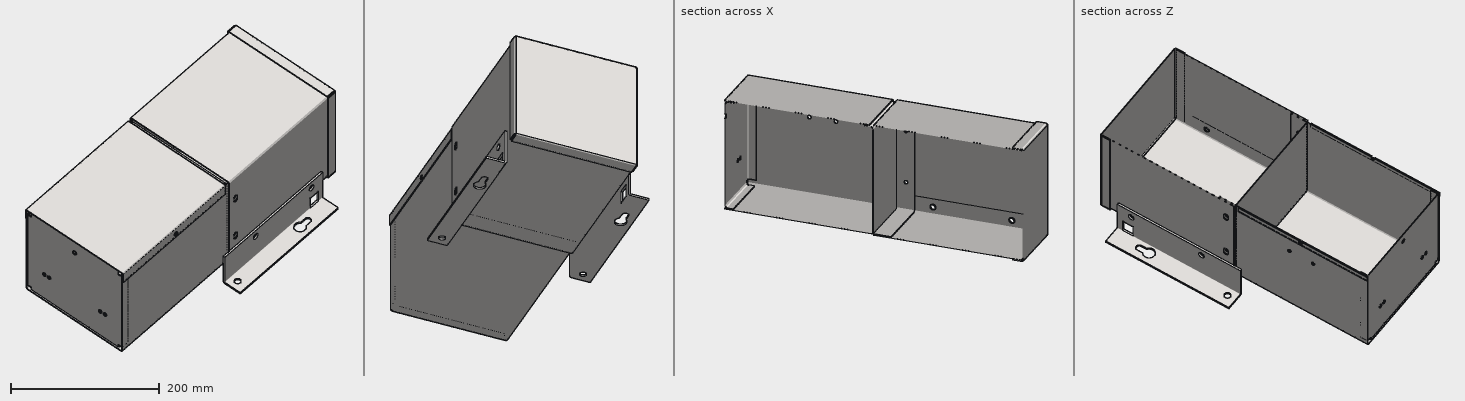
import cadquery as cq
OVERALL_LENGTH = 433.32
OVERALL_HEIGHT = 196.57
SHEET = 1.524
BRACKET_SHEET = 3.048

CAP_BOTTOM_Z = 28.4
CAP_DEPTH = 16.3
CAP_BEND = 2 * SHEET
CAP_CORNER_NOTCH = 2.3

TUBE_WIDTH = 177.8
TUBE_CAP_CLEARANCE = 0.3
TUBE_TOP_Z = OVERALL_HEIGHT - SHEET - TUBE_CAP_CLEARANCE
TUBE_BOTTOM_Z = CAP_BOTTOM_Z + SHEET + TUBE_CAP_CLEARANCE
TUBE_FRONT_Y = 216.0
TUBE_BACK_Y = OVERALL_LENGTH - CAP_BEND
TUBE_BEND = 3.8
CAP_WIDTH = TUBE_WIDTH + 2 * SHEET

COVER_SIDE_STEP = 1.3
COVER_WIDTH = TUBE_WIDTH - 2 * COVER_SIDE_STEP
COVER_TOP_STEP = 0.3
COVER_TOP_Z = TUBE_TOP_Z - COVER_TOP_STEP
COVER_LENGTH = 209.7
COVER_BEND = 2 * SHEET
COVER_FLANGE_BOTTOM_Z = 176.0

WRAP_WIDTH = COVER_WIDTH - 2 * SHEET
WRAP_BOTTOM_Z = TUBE_BOTTOM_Z + SHEET
WRAP_TOP_Z = COVER_TOP_Z - COVER_BEND
WRAP_BEND = 3.8
WRAP_OVERLAP = 25.4
WRAP_LENGTH = TUBE_FRONT_Y + WRAP_OVERLAP
PARTITION_SETBACK = 0.3
PARTITION_BACK_Y = TUBE_FRONT_Y - PARTITION_SETBACK
COVER_GAP = 0.3
PARTITION_TOP_Z = COVER_TOP_Z - SHEET - COVER_GAP
PARTITION_BEND = 5.08
PARTITION_FLANGE_DEPTH = 12.7
PARTITION_FLANGE_INSET = 1.4

PANEL_WIDTH = WRAP_WIDTH - 2 * SHEET
PANEL_TOP_Z = PARTITION_TOP_Z
PANEL_BOTTOM_Z = WRAP_BOTTOM_Z + SHEET
PANEL_DEPTH = 12.7
PANEL_SIDE_BEND = 2 * SHEET
PANEL_TOP_BEND = 5.08
PANEL_CORNER_NOTCH = 7.0

PANEL_TOP_HOLE_DIAMETER = 6.5
PANEL_TOP_HOLE_Z = 170.2
PANEL_SIDE_HOLE_DIAMETER = 5.5
PANEL_SIDE_HOLE_X = (45.7, 54.2)
PANEL_SIDE_HOLE_Z = 84.6

OVERALL_WIDTH = 238.76
BRACKET_LENGTH = 200.66
BRACKET_FRONT_Y = 203.0
BRACKET_HEIGHT = 54.6
BRACKET_INNER_BEND = 0.4
BRACKET_FOOT = (OVERALL_WIDTH - TUBE_WIDTH) / 2
BRACKET_BEND = BRACKET_SHEET + BRACKET_INNER_BEND
BRACKET_WINDOW_LENGTH = 17.0
BRACKET_WINDOW_FRONT_Y = 378.0
BRACKET_WINDOW_TOP_Z = 23.2

FOOT_HOLE_X = 103.3
FOOT_HOLE_Y = 216.2
FOOT_HOLE_DIAMETER = 9.5
KEYHOLE_Y = 344.0
KEYHOLE_DIAMETER = 17.0
KEYHOLE_SLOT_WIDTH = 9.5
KEYHOLE_SLOT_RISE = 16.0

BRACKET_SCREW_Y = (266.6, 380.9)
BRACKET_SCREW_Z = 42.3
BRACKET_SCREW_HOLE = 9.1
TUBE_SCREW_HOLE = 7.1

JOINT_Y = 229.0
JOINT_Z = (74.4, 150.6)
JOINT_SLOT_WIDTH = 7.6
JOINT_SLOT_HEIGHT = 11.7
JOINT_HOLE_DIAMETER = 4.8

COVER_SCREW_Y = 108.3
COVER_SCREW_Z = 181.8
COVER_SCREW_CLEARANCE = 6.5
COVER_SCREW_HOLE = 4.0
PILOT_Y = (89.0, 127.5)
PILOT_Z = 147.0
PILOT_DIAMETER = 5.0


def block(width, y_start, y_end, z_bottom, z_top):
    """Box centred on X between the given Y and Z limits."""
    size = (width, y_end - y_start, z_top - z_bottom)
    return cq.Workplane("XY").box(*size, centered=(True, False, False)).translate((0, y_start, z_bottom))


def cross_hole(diameter, y, z):
    """Cylinder along X that crosses the whole part."""
    return cq.Workplane("YZ").center(y, z).circle(diameter / 2).extrude(OVERALL_WIDTH, both=True)


def pan(width, depth, z_bottom, z_top, side_bend, top_bend, notch):
    """Sheet pan with its plate at Y = 0, four flanges toward +Y and open square corners."""
    side_channel = block(width, 0, depth, z_bottom + notch, z_top - notch)
    side_channel = side_channel.edges("|Z and <Y").fillet(side_bend)
    side_space = block(width - 2 * SHEET, SHEET, depth, z_bottom + notch, z_top - notch)
    side_space = side_space.edges("|Z and <Y").fillet(side_bend - SHEET)

    top_channel = block(width - 2 * notch, 0, depth, z_bottom, z_top)
    top_channel = top_channel.edges("|X and <Y").fillet(top_bend)
    top_space = block(width - 2 * notch, SHEET, depth, z_bottom + SHEET, z_top - SHEET)
    top_space = top_space.edges("|X and <Y").fillet(top_bend - SHEET)
    return side_channel.cut(side_space).union(top_channel.cut(top_space))


def make_cap():
    """Pan whose flanges reach forward over the back end of the tube."""
    faced_forward = pan(
        CAP_WIDTH, CAP_DEPTH, CAP_BOTTOM_Z, OVERALL_HEIGHT, CAP_BEND, CAP_BEND, CAP_CORNER_NOTCH
    )
    return faced_forward.rotate((0, 0, 0), (0, 0, 1), 180).translate((0, OVERALL_LENGTH, 0))


def make_front_panel():
    """Pan that closes the front of the wiring compartment."""
    panel = pan(
        PANEL_WIDTH, PANEL_DEPTH, PANEL_BOTTOM_Z, PANEL_TOP_Z,
        PANEL_SIDE_BEND, PANEL_TOP_BEND, PANEL_CORNER_NOTCH,
    )
    side_points = [(side * x, PANEL_SIDE_HOLE_Z) for side in (-1, 1) for x in PANEL_SIDE_HOLE_X]
    plate_back = cq.Workplane("XZ", origin=(0, SHEET, 0))
    side_holes = plate_back.pushPoints(side_points).circle(PANEL_SIDE_HOLE_DIAMETER / 2).extrude(SHEET)
    top_hole = plate_back.center(0, PANEL_TOP_HOLE_Z).circle(PANEL_TOP_HOLE_DIAMETER / 2).extrude(SHEET)
    return panel.cut(side_holes).cut(top_hole)


def make_tube():
    """Rectangular sheet tube, open at both ends."""
    tube = block(TUBE_WIDTH, TUBE_FRONT_Y, TUBE_BACK_Y, TUBE_BOTTOM_Z, TUBE_TOP_Z)
    tube = tube.edges("|Y").fillet(TUBE_BEND)
    bore = block(
        TUBE_WIDTH - 2 * SHEET, TUBE_FRONT_Y, TUBE_BACK_Y, TUBE_BOTTOM_Z + SHEET, TUBE_TOP_Z - SHEET
    )
    tube = tube.cut(bore.edges("|Y").fillet(TUBE_BEND - SHEET))
    for y in BRACKET_SCREW_Y:
        tube = tube.cut(cross_hole(TUBE_SCREW_HOLE, y, BRACKET_SCREW_Z))
    for z in JOINT_Z:
        slot = (
            cq.Workplane("YZ")
            .center(JOINT_Y, z)
            .slot2D(JOINT_SLOT_HEIGHT, JOINT_SLOT_WIDTH, 90)
            .extrude(OVERALL_WIDTH, both=True)
        )
        tube = tube.cut(slot)
    return tube


def make_cover():
    """Top sheet with a short flange down each side of the wrap."""
    cover = block(COVER_WIDTH, 0, COVER_LENGTH, COVER_FLANGE_BOTTOM_Z, COVER_TOP_Z)
    cover = cover.edges("|Y and >Z").fillet(COVER_BEND)
    inside = block(WRAP_WIDTH, 0, COVER_LENGTH, COVER_FLANGE_BOTTOM_Z, COVER_TOP_Z - SHEET)
    cover = cover.cut(inside.edges("|Y and >Z").fillet(COVER_BEND - SHEET))
    return cover.cut(cross_hole(COVER_SCREW_CLEARANCE, COVER_SCREW_Y, COVER_SCREW_Z))


def wrap_cavity(y_start, y_end):
    """Space inside the wrap between two Y positions."""
    cavity = block(WRAP_WIDTH - 2 * SHEET, y_start, y_end, WRAP_BOTTOM_Z + SHEET, WRAP_TOP_Z)
    return cavity.edges("|Y and <Z").fillet(WRAP_BEND - SHEET)


def make_partition():
    """Wall across the wrap whose top bends forward into a flange under the cover."""
    tangent_z = PARTITION_TOP_Z - PARTITION_BEND
    front_y = PARTITION_BACK_Y - SHEET
    wall = wrap_cavity(front_y, PARTITION_BACK_Y)
    wall = wall.intersect(block(WRAP_WIDTH, front_y, PARTITION_BACK_Y, WRAP_BOTTOM_Z, tangent_z))

    flange_width = WRAP_WIDTH - 2 * (SHEET + PARTITION_FLANGE_INSET)
    flange_front_y = PARTITION_BACK_Y - PARTITION_FLANGE_DEPTH
    root_z = tangent_z - SHEET
    flange = block(flange_width, flange_front_y, PARTITION_BACK_Y, root_z, PARTITION_TOP_Z)
    flange = flange.edges("|X and >Y and >Z").fillet(PARTITION_BEND)
    under = block(flange_width, flange_front_y, front_y, root_z, PARTITION_TOP_Z - SHEET)
    under = under.edges("|X and >Y and >Z").fillet(PARTITION_BEND - SHEET)
    return wall.union(flange.cut(under))


def make_compartment():
    """U-shaped floor and sides, joined to the partition wall."""
    wrap = block(WRAP_WIDTH, 0, WRAP_LENGTH, WRAP_BOTTOM_Z, WRAP_TOP_Z)
    wrap = wrap.edges("|Y and <Z").fillet(WRAP_BEND)
    wrap = wrap.cut(wrap_cavity(0, WRAP_LENGTH))
    for z in JOINT_Z:
        wrap = wrap.cut(cross_hole(JOINT_HOLE_DIAMETER, JOINT_Y, z))
    wrap = wrap.cut(cross_hole(COVER_SCREW_HOLE, COVER_SCREW_Y, COVER_SCREW_Z))
    pilots = (
        cq.Workplane("YZ")
        .pushPoints([(y, PILOT_Z) for y in PILOT_Y])
        .circle(PILOT_DIAMETER / 2)
        .extrude(-WRAP_WIDTH)
    )
    return wrap.cut(pilots).union(make_partition())


def make_right_bracket():
    """L-shaped bracket on the +X side of the tube."""
    leg_x = TUBE_WIDTH / 2
    bracket = block(BRACKET_FOOT, BRACKET_FRONT_Y, BRACKET_FRONT_Y + BRACKET_LENGTH, 0, BRACKET_HEIGHT)
    bracket = bracket.translate((leg_x + BRACKET_FOOT / 2, 0, 0))
    bracket = bracket.edges("|Y and <X and <Z").fillet(BRACKET_BEND)
    open_side = block(
        BRACKET_FOOT, BRACKET_FRONT_Y, BRACKET_FRONT_Y + BRACKET_LENGTH, BRACKET_SHEET, BRACKET_HEIGHT
    )
    open_side = open_side.edges("|Y and <X and <Z").fillet(BRACKET_INNER_BEND)
    bracket = bracket.cut(open_side.translate((leg_x + BRACKET_SHEET + BRACKET_FOOT / 2, 0, 0)))

    for y in BRACKET_SCREW_Y:
        bracket = bracket.cut(cross_hole(BRACKET_SCREW_HOLE, y, BRACKET_SCREW_Z))
    window_end_y = BRACKET_WINDOW_FRONT_Y + BRACKET_WINDOW_LENGTH
    bracket = bracket.cut(
        block(OVERALL_WIDTH, BRACKET_WINDOW_FRONT_Y, window_end_y, BRACKET_BEND, BRACKET_WINDOW_TOP_Z)
    )

    foot = cq.Workplane("XY")
    foot_hole = foot.center(FOOT_HOLE_X, FOOT_HOLE_Y).circle(FOOT_HOLE_DIAMETER / 2).extrude(BRACKET_SHEET)
    keyhole_circle = foot.center(FOOT_HOLE_X, KEYHOLE_Y).circle(KEYHOLE_DIAMETER / 2).extrude(BRACKET_SHEET)
    keyhole_slot = (
        foot.center(FOOT_HOLE_X, KEYHOLE_Y + KEYHOLE_SLOT_RISE / 2)
        .slot2D(KEYHOLE_SLOT_RISE + KEYHOLE_SLOT_WIDTH, KEYHOLE_SLOT_WIDTH, 90)
        .extrude(BRACKET_SHEET)
    )
    return bracket.cut(foot_hole).cut(keyhole_circle).cut(keyhole_slot)


cap = make_cap()
tube = make_tube()
compartment = make_compartment()
cover = make_cover()
front_panel = make_front_panel()
right_bracket = make_right_bracket()
brackets = [right_bracket, right_bracket.mirror("YZ")]

bodies = [cap, tube, compartment, cover, front_panel, *brackets]
result = cq.Compound.makeCompound([body.val() for body in bodies])